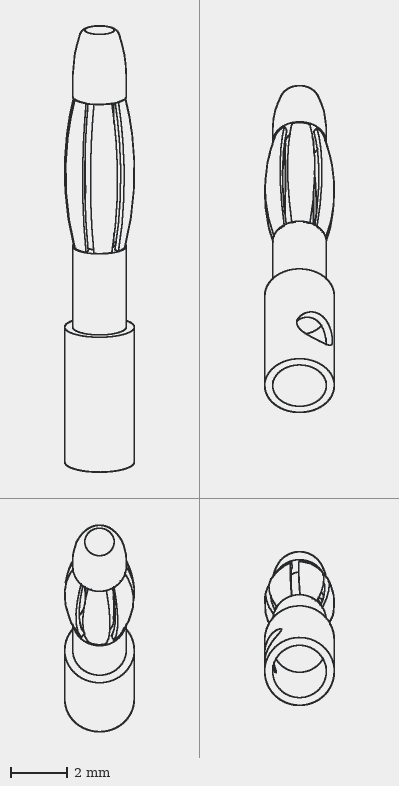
import cadquery as cq
import math

socket_dia = 2.47
socket_height = 5.0
bore_dia = 1.9
bore_depth = 4.0
side_hole_dia = 1.5
side_hole_height = 2.0

neck_dia = 1.9
cage_bottom = 8.0
cage_top = 13.53
cage_end_radius = 0.91
cage_mid_radius = 1.24
leaf_thickness = 0.2
core_dia = 1.0
slot_width = 0.3
slot_count = 6

ogive_bottom = 14.35
cone_bottom = 15.42
cone_bottom_radius = 0.81
cone_top = 15.8
tip_radius = 0.52
total_height = 16.0

neck_radius = neck_dia / 2
cage_height = cage_top - cage_bottom
cage_middle = (cage_bottom + cage_top) / 2

ogive_height = cone_bottom - ogive_bottom
ogive_end_angle = 2 * math.atan2(neck_radius - cone_bottom_radius, ogive_height)
cone_top_radius = cone_bottom_radius - (cone_top - cone_bottom) * math.tan(ogive_end_angle)


def cylinder(diameter, bottom, top):
    """Upright cylinder on the part axis between two heights."""
    return cq.Workplane("XY").workplane(offset=bottom).circle(diameter / 2).extrude(top - bottom)


def barrel(inset):
    """Barrel with an arc-shaped side, shrunk radially by the inset."""
    end_radius = cage_end_radius - inset
    mid_radius = cage_mid_radius - inset
    return (
        cq.Workplane("XZ")
        .moveTo(0, cage_bottom)
        .lineTo(end_radius, cage_bottom)
        .threePointArc((mid_radius, cage_middle), (end_radius, cage_top))
        .lineTo(0, cage_top)
        .close()
        .revolve(360, (0, 0, 0), (0, 1, 0))
    )


def make_socket():
    """Foot cylinder with a blind bore from below and a round window on the -X side."""
    body = cylinder(socket_dia, 0, socket_height)
    bore = cylinder(bore_dia, 0, bore_depth)
    window = (
        cq.Workplane("YZ")
        .center(0, side_hole_height)
        .circle(side_hole_dia / 2)
        .extrude(-socket_dia)
    )
    return body.cut(bore).cut(window)


def make_cage():
    """Bulging spring leaves, separated by radial slots, around a slim core."""
    leaves = barrel(0).cut(barrel(leaf_thickness))
    slot = cq.Workplane("XY").box(socket_dia, slot_width, cage_height, centered=(False, True, False))
    slot = slot.translate((0, 0, cage_bottom))
    for index in range(slot_count):
        angle = index * 360 / slot_count
        leaves = leaves.cut(slot.rotate((0, 0, 0), (0, 0, 1), angle))
    core = cylinder(core_dia, cage_bottom, cage_top)
    return leaves.union(core)


def make_nose():
    """Head cylinder that tapers through an ogive and a cone to a rounded flat tip."""
    return (
        cq.Workplane("XZ")
        .moveTo(0, cage_top)
        .lineTo(neck_radius, cage_top)
        .lineTo(neck_radius, ogive_bottom)
        .tangentArcPoint((cone_bottom_radius, cone_bottom), relative=False)
        .lineTo(cone_top_radius, cone_top)
        .tangentArcPoint((tip_radius, total_height), relative=False)
        .lineTo(0, total_height)
        .close()
        .revolve(360, (0, 0, 0), (0, 1, 0))
    )


neck = cylinder(neck_dia, socket_height, cage_bottom)

result = make_socket().union(neck).union(make_cage()).union(make_nose())